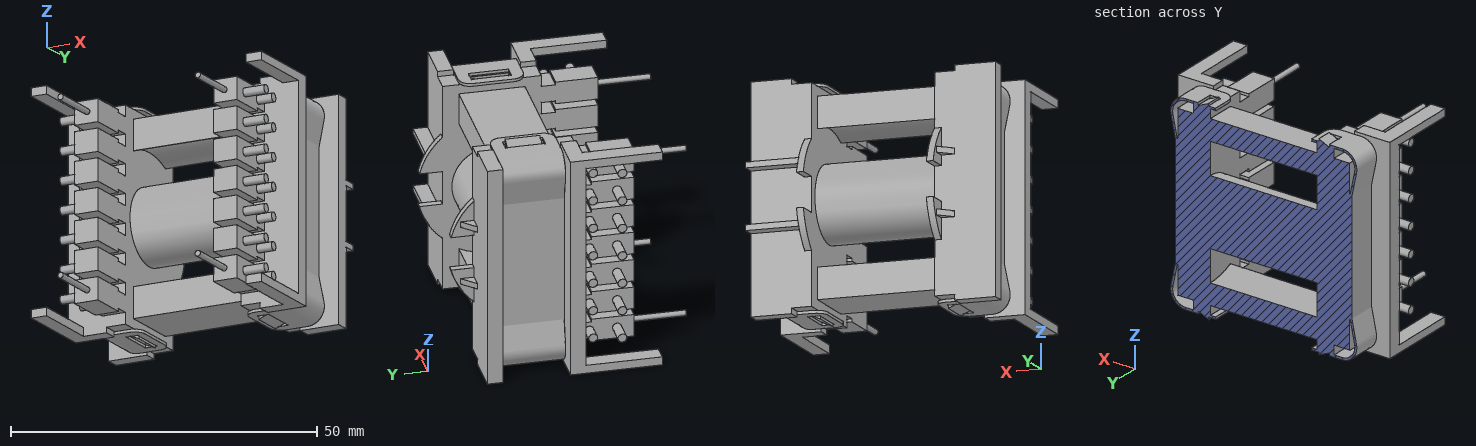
import cadquery as cq
import math


core_half_length = 17.3
core_half_height = 17.05
core_half_depth = 5.55
window_half_length = 11.8
leg_inner_radius = 12.85

tube_diameter = 13.4
flange_inner_x = 10.7
flange_thickness = 1.2
flange_radius = 12.5
flange_outer_x = flange_inner_x + flange_thickness
rail_outer_x = 21.3
rail_half_height = 19.7
channel_half_depth = 5.63
rail_thickness = 2.65
rail_outer_y = channel_half_depth + rail_thickness
rail_step_x = 14.2

arm_width = 2.85
arm_height = 1.5
arm_length = 12.8

fin_gap_half_height = 3.0
rib_thickness = 1.0
rib_z = 5.25
gusset_size = 2.3
rib_height = 2.45

carrier_count = 7
carrier_pitch = 5.08
carrier_outer_x = 15.0
carrier_length = 9.52
carrier_height = 4.0
neck_length = 2.4
neck_height = 3.0
cross_pin_diameter = 1.5
rear_pin_offset = 2.0
rear_pin_tip_x = 17.8
front_pin_offset = 6.65
front_pin_tip_x = 18.9
long_pin_diameter = 1.0
long_pin_x = 12.7
long_pin_tip_y = -27.0

clip_thickness = 0.5
clip_half_depth = 5.45
clip_top_z = 19.25
clip_end_x = 9.65
clip_corner_radius = 3.05
clip_bow_angle = math.radians(11.7)
clip_end_radius = 2.0
clip_flat_x = core_half_length + clip_thickness
clip_corner_x = 15.72
clip_corner_z = clip_top_z - clip_corner_radius
bridge_top_z = clip_top_z - clip_thickness

slot_outer_x = 13.2
slot_inner_x = 11.1
slot_half_depth = 3.35
tongue_half_depth = 2.9
tongue_tip_z = rail_half_height


def box(x_range, y_range, z_range):
    """Box spanning the given (low, high) limits."""
    size = [high - low for low, high in (x_range, y_range, z_range)]
    corner = (x_range[0], y_range[0], z_range[0])
    return cq.Workplane("XY").box(*size, centered=False).translate(corner)


def x_cylinder(radius, x_start, x_end, y=0, z=0):
    """Cylinder along X between two stations."""
    return cq.Workplane("YZ", origin=(x_start, 0, 0)).center(y, z).circle(radius).extrude(x_end - x_start)


def mirrored_in_z(body):
    return body.union(body.mirror("XY"))


def make_core():
    """E-core pair whose outer legs have inner faces curved around the tube."""
    core = box(
        (-core_half_length, core_half_length),
        (-core_half_depth, core_half_depth),
        (-core_half_height, core_half_height),
    )
    core = core.cut(x_cylinder(leg_inner_radius, -window_half_length, window_half_length))
    return core.union(x_cylinder(tube_diameter / 2, -flange_outer_x, flange_outer_x))


def make_rail(y_range):
    """Rail with lowered ends next to the flange."""
    outer = box((rail_step_x, rail_outer_x), y_range, (-rail_half_height, rail_half_height))
    inner = box((flange_inner_x, rail_step_x), y_range, (-bridge_top_z, bridge_top_z))
    return outer.union(inner)


def make_flange():
    """End flange with the bridges that carry the clip over the core legs."""
    plate = box(
        (flange_inner_x, flange_outer_x),
        (-rail_outer_y, rail_outer_y),
        (-bridge_top_z, bridge_top_z),
    )
    bridge = box(
        (flange_inner_x, rail_step_x),
        (-channel_half_depth, channel_half_depth),
        (core_half_height, bridge_top_z),
    )
    return plate.union(mirrored_in_z(bridge))


def make_fins():
    """Two circular segments of the flange standing behind the rear rail."""
    fin = x_cylinder(flange_radius, flange_inner_x, flange_outer_x)
    keep = box(
        (flange_inner_x, flange_outer_x),
        (rail_outer_y, flange_radius),
        (fin_gap_half_height, flange_radius),
    )
    return mirrored_in_z(fin.intersect(keep))


def make_arms():
    arm = box(
        (rail_outer_x - arm_width, rail_outer_x),
        (-rail_outer_y - arm_length, -rail_outer_y),
        (rail_half_height - arm_height, rail_half_height),
    )
    return mirrored_in_z(arm)


def make_carrier(z):
    """Pin carrier on a narrower neck, with its two cross pins."""
    x_range = (flange_inner_x, carrier_outer_x)
    neck_end_y = -rail_outer_y - neck_length
    neck = box(x_range, (neck_end_y, -rail_outer_y), (z - neck_height / 2, z + neck_height / 2))
    block = box(
        x_range,
        (-rail_outer_y - carrier_length, neck_end_y),
        (z - carrier_height / 2, z + carrier_height / 2),
    )
    carrier = neck.union(block)
    for offset, tip_x in ((rear_pin_offset, rear_pin_tip_x), (front_pin_offset, front_pin_tip_x)):
        pin = x_cylinder(cross_pin_diameter / 2, long_pin_x, tip_x, -rail_outer_y - offset, z)
        carrier = carrier.union(pin)
    return carrier


def make_long_pin(z):
    """Board pin leaving the front face of an end carrier."""
    start_y = -rail_outer_y - carrier_length
    plane = cq.Workplane("XZ", origin=(long_pin_x, start_y, z))
    return plane.circle(long_pin_diameter / 2).extrude(start_y - long_pin_tip_y)


def clip_section(inset):
    """Region enclosed by the bowed clip, shrunk inward by the inset."""
    radius = clip_corner_radius - inset
    top_z = clip_corner_z + radius
    mid_angle = (math.pi / 2 - clip_bow_angle) / 2
    mid_x = clip_corner_x + radius * math.cos(mid_angle)
    mid_z = clip_corner_z + radius * math.sin(mid_angle)
    bow_x = clip_corner_x + radius * math.cos(clip_bow_angle)
    bow_z = clip_corner_z - radius * math.sin(clip_bow_angle)
    flat_x = clip_flat_x - inset
    flat_z = bow_z - (bow_x - flat_x) / math.tan(clip_bow_angle)
    return (
        cq.Workplane("XZ")
        .moveTo(clip_end_x, top_z)
        .lineTo(clip_corner_x, top_z)
        .threePointArc((mid_x, mid_z), (bow_x, bow_z))
        .lineTo(flat_x, flat_z)
        .lineTo(flat_x, -flat_z)
        .lineTo(bow_x, -bow_z)
        .threePointArc((mid_x, -mid_z), (clip_corner_x, -top_z))
        .lineTo(clip_end_x, -top_z)
        .close()
        .extrude(clip_half_depth, both=True)
    )


def make_tongue():
    """Inclined latch rising toward the free end of the clip."""
    return (
        cq.Workplane("XZ")
        .moveTo(slot_outer_x, bridge_top_z)
        .lineTo(slot_inner_x, tongue_tip_z)
        .lineTo(slot_inner_x, bridge_top_z)
        .close()
        .extrude(tongue_half_depth, both=True)
    )


def make_clip():
    """Bent sheet clip with rounded ends, latch slots and tongues."""
    clip = clip_section(0).cut(clip_section(clip_thickness))
    clip = clip.edges("|Z and <X").fillet(clip_end_radius)
    slot = box(
        (slot_inner_x, slot_outer_x),
        (-slot_half_depth, slot_half_depth),
        (bridge_top_z, clip_top_z),
    )
    return clip.cut(mirrored_in_z(slot)).union(mirrored_in_z(make_tongue()))


def make_half():
    """Coil former, pins and clip at the +X end, without the fin stiffeners."""
    half = make_flange()
    half = half.union(make_rail((channel_half_depth, rail_outer_y)))
    half = half.union(make_rail((-rail_outer_y, -channel_half_depth)))
    half = half.union(make_fins()).union(make_arms())
    last_z = carrier_pitch * (carrier_count - 1) / 2
    for index in range(carrier_count):
        half = half.union(make_carrier(index * carrier_pitch - last_z))
    for z in (-last_z, last_z):
        half = half.union(make_long_pin(z))
    return half.union(make_clip())


def make_gussets():
    """Triangular stiffeners behind the fins at the -X end."""
    gusset = (
        cq.Workplane("XY", origin=(0, 0, rib_z))
        .moveTo(-flange_outer_x, rail_outer_y)
        .lineTo(-flange_outer_x, rail_outer_y + gusset_size)
        .lineTo(-flange_outer_x - gusset_size, rail_outer_y)
        .close()
        .extrude(rib_thickness / 2, both=True)
    )
    return mirrored_in_z(gusset)


def make_ribs():
    """Full-width stiffeners behind the fins at the +X end."""
    rib = box(
        (flange_outer_x, rail_outer_x),
        (rail_outer_y, rail_outer_y + rib_height),
        (rib_z - rib_thickness / 2, rib_z + rib_thickness / 2),
    )
    return mirrored_in_z(rib)


right_half = make_half()
left_half = right_half.mirror("YZ")
body = make_core().union(right_half).union(left_half)
result = body.union(make_gussets()).union(make_ribs())